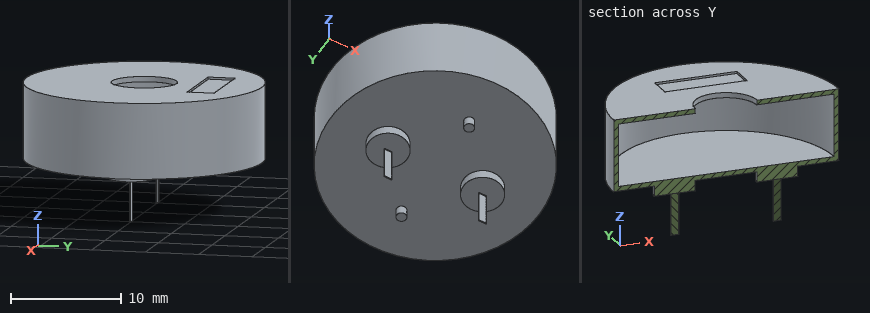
import cadquery as cq

HOUSING_DIAMETER = 22.0
HOUSING_HEIGHT = 7.0
CAVITY_DIAMETER = 21.0
WALL = (HOUSING_DIAMETER - CAVITY_DIAMETER) / 2
SOUND_HOLE_DIAMETER = 6.0

RECESS_LENGTH = 8.0
RECESS_WIDTH = 2.5
RECESS_DEPTH = 0.2
RECESS_CENTER_Y = 6.25

FOOT_HEIGHT = 1.0
BOSS_DIAMETER = 4.0
BOSS_OFFSET_X = 5.0
PEG_DIAMETER = 1.0
PEG_OFFSET_Y = 6.0

PIN_WIDTH = 0.8
PIN_THICKNESS = 0.1
PIN_LENGTH = 4.0


def make_feet(diameter, centers):
    """Round feet hanging from the underside of the housing."""
    return cq.Workplane("XY").pushPoints(centers).circle(diameter / 2).extrude(-FOOT_HEIGHT)


def make_housing():
    """Hollow drum with a sound hole, a top recess, two bosses and two locating pegs."""
    drum = cq.Workplane("XY").circle(HOUSING_DIAMETER / 2).extrude(HOUSING_HEIGHT)
    cavity = (
        cq.Workplane("XY", origin=(0, 0, WALL))
        .circle(CAVITY_DIAMETER / 2)
        .extrude(HOUSING_HEIGHT - 2 * WALL)
    )
    top = cq.Workplane("XY", origin=(0, 0, HOUSING_HEIGHT))
    sound_hole = top.circle(SOUND_HOLE_DIAMETER / 2).extrude(-2 * WALL)
    recess = top.center(0, RECESS_CENTER_Y).rect(RECESS_LENGTH, RECESS_WIDTH).extrude(-RECESS_DEPTH)
    bosses = make_feet(BOSS_DIAMETER, [(-BOSS_OFFSET_X, 0), (BOSS_OFFSET_X, 0)])
    pegs = make_feet(PEG_DIAMETER, [(0, -PEG_OFFSET_Y), (0, PEG_OFFSET_Y)])
    return drum.cut(cavity).cut(sound_hole).cut(recess).union(bosses).union(pegs)


def make_pin(x):
    """Flat terminal pin starting at the lower face of its boss."""
    return (
        cq.Workplane("XY", origin=(x, 0, -FOOT_HEIGHT))
        .rect(PIN_WIDTH, PIN_THICKNESS)
        .extrude(-PIN_LENGTH)
    )


housing = make_housing()
pins = [make_pin(side * BOSS_OFFSET_X) for side in (-1, 1)]

result = cq.Compound.makeCompound([housing.val(), *[pin.val() for pin in pins]])